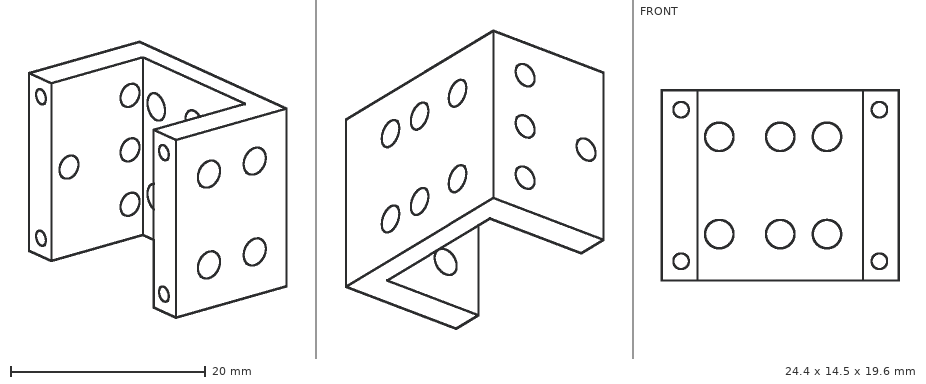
import cadquery as cq

width = 24.4
depth = 14.5
height = 19.6

side_wall = 3.7
back_wall = 2.5

large_hole = 2.9
row_spacing = 10.0
back_hole_xs = (-6.27, 0, 4.8)

side_hole = 2.5
rear_column_inset = 4.17
left_row_spacing = 6.0
left_column_spacing = 8.0
right_column_spacing = 6.0

end_hole = 1.6
end_hole_depth = 4.88
end_hole_side_inset = 2.0
end_hole_z_inset = 2.0

rear_column_y = depth / 2 - rear_column_inset
cut_margin = 0.25


def drill(start, direction, diameter, length):
    """Cylinder that removes a hole running from start along direction."""
    return cq.Solid.makeCylinder(diameter / 2, length, cq.Vector(*start), cq.Vector(*direction))


channel_width = width - 2 * side_wall
channel_depth = depth - back_wall
body = cq.Workplane("XY").box(width, depth, height)
channel = (
    cq.Workplane("XY")
    .box(channel_width, channel_depth, height)
    .translate((0, -back_wall / 2, 0))
)
result = body.cut(channel)

back_start_y = depth / 2 - back_wall - cut_margin
right_start_x = width / 2 - side_wall - cut_margin
for z in (-row_spacing / 2, row_spacing / 2):
    for x in back_hole_xs:
        hole = drill((x, back_start_y, z), (0, 1, 0), large_hole, back_wall + 2 * cut_margin)
        result = result.cut(cq.Workplane(hole))
    for y in (rear_column_y, rear_column_y - right_column_spacing):
        hole = drill((right_start_x, y, z), (1, 0, 0), large_hole, side_wall + 2 * cut_margin)
        result = result.cut(cq.Workplane(hole))

left_holes = [(rear_column_y, row * left_row_spacing) for row in (-1, 0, 1)]
left_holes.append((rear_column_y - left_column_spacing, 0))
left_start_x = -width / 2 - cut_margin
for y, z in left_holes:
    hole = drill((left_start_x, y, z), (1, 0, 0), side_hole, side_wall + 2 * cut_margin)
    result = result.cut(cq.Workplane(hole))

end_hole_x = width / 2 - end_hole_side_inset
end_hole_z = height / 2 - end_hole_z_inset
for x in (-end_hole_x, end_hole_x):
    for z in (-end_hole_z, end_hole_z):
        hole = drill((x, -depth / 2, z), (0, 1, 0), end_hole, end_hole_depth)
        result = result.cut(cq.Workplane(hole))